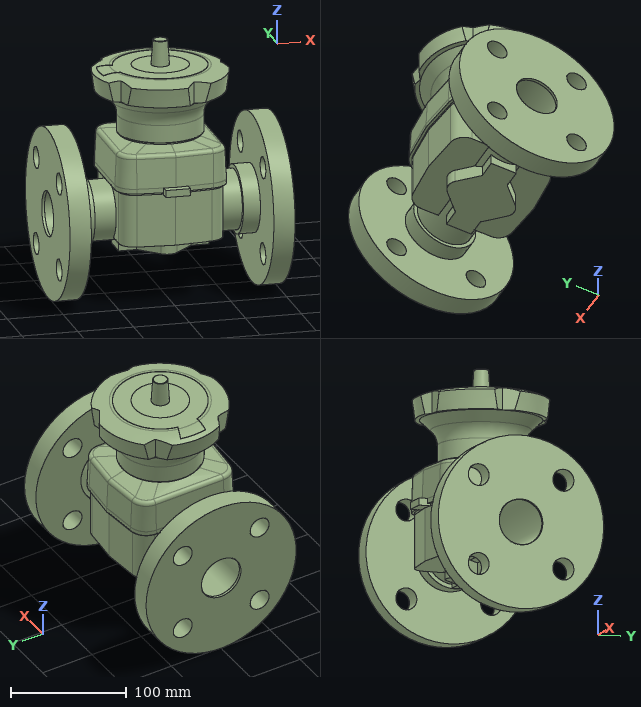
import cadquery as cq
import math


overall_length = 201.5
overall_height = 227.7

flange_radius = 76.3
flange_thickness = 19.1
collar_radius = 30.5
collar_length = 15.3
bolt_spacing = 78.0
bolt_hole_radius = 9.5
flange_lip = 2.5

pipe_radius = 26.9
bore_radius = 20.0
side_peak_angle = 5.4
body_half_length = 46.5
body_half_width = 52.0
body_corner_radius = 14.3
body_bottom_z = -20.7
joint_z = 26.2

foot_bottom_z = -35.0
foot_half_length = 40.5
foot_half_width = 12.3
nose_half_length = 24.4
nose_tip_radius = 10.0
nose_angle = 45.0

rim_half_length = 49.6
rim_half_width = 54.5
rim_bottom_z = 28.2
rim_top_z = 32.5
bonnet_corner_radius = 16.8
bonnet_draft = 2.5
shoulder_z = 62.8
shoulder_fillet = 3.9
neck_radius = 36.7
neck_bottom_z = 66.5
neck_corner_angle = 11.0
tab_half_length = 11.0
tab_tip_y = -61.0

hub_radius = 38.0
hub_bottom_z = 68.0
hub_top_z = 84.0
flare_radius = 18.2
flare_angle = 47.0
wheel_underside_z = 106.3
wheel_under_radius = 57.5
wheel_rim_radius = 59.9
wheel_rim_z = 123.2
wheel_flat_radius = 44.2
wheel_top_z = 127.5
notch_count = 5
notch_depth_radius = 54.0
notch_lead_angle = 14.5
notch_trail_angle = 8.8
notch_clearance = 11.4
pointer_disc_radius = 41.5
pointer_tip_radius = 55.3
pointer_root = ((-39.8, 6.8), (-39.4, -13.5))
pointer_tip = ((-54.0, 12.5), (-54.0, -12.7))
pointer_lift = 0.2

cap_radius = 25.3
cap_thickness = 4.5
stem_base_radius = 8.0
stem_top_radius = 6.5
stem_chamfer = 0.5
stem_dome_height = 1.0
stem_top_z = overall_height - flange_radius

cap_top_z = wheel_top_z + pointer_lift
cap_bottom_z = cap_top_z - cap_thickness
half_length = overall_length / 2
pipe_half_length = half_length - flange_lip
collar_end_x = half_length - flange_thickness - collar_length


def polar(radius, degrees):
    angle = math.radians(degrees)
    return (radius * math.cos(angle), radius * math.sin(angle))


def box_between(x0, x1, y0, y1, z0, z1):
    block = cq.Workplane("XY").box(x1 - x0, y1 - y0, z1 - z0, centered=False)
    return block.translate((x0, y0, z0))


def x_cylinder(radius, x0, x1):
    return cq.Workplane("YZ", origin=(x0, 0, 0)).circle(radius).extrude(x1 - x0)


def peaked_prism(half_x, half_y, corner_radius, z0, z1, draft=0.0):
    """Block with flat X sides, peaked Y sides and rounded corners, narrowing upward by the draft."""
    edge_y = half_y - half_x * math.tan(math.radians(side_peak_angle))
    corners = [(half_x, edge_y), (0, half_y), (-half_x, edge_y)]
    outline = corners + [(-x, -y) for x, y in corners]
    sketch = cq.Sketch().polygon(outline + outline[:1]).vertices(">X or <X").fillet(corner_radius)
    return cq.Workplane("XY", origin=(0, 0, z0)).placeSketch(sketch).extrude(z1 - z0, taper=draft)


def make_flange(side):
    """Flange disc with its collar; side is -1 or +1 along X."""
    disc = x_cylinder(flange_radius, half_length - flange_thickness, half_length)
    collar = x_cylinder(collar_radius, collar_end_x, half_length - flange_thickness)
    bolt_holes = (
        cq.Workplane("YZ")
        .rect(bolt_spacing, bolt_spacing, forConstruction=True)
        .vertices()
        .circle(bolt_hole_radius)
        .extrude(half_length)
    )
    pipe_socket = x_cylinder(pipe_radius, 0, pipe_half_length)
    bore = x_cylinder(bore_radius, 0, half_length)
    flange = disc.union(collar).cut(bolt_holes).cut(pipe_socket).cut(bore)
    return flange if side > 0 else flange.mirror("YZ")


def make_foot():
    """Bar along the pipe with a round-nosed diamond across its middle."""
    bar = box_between(
        -foot_half_length, foot_half_length, -foot_half_width, foot_half_width, foot_bottom_z, 0
    )
    slope = math.radians(nose_angle)
    tangent_x = nose_tip_radius * math.sin(slope)
    tangent_y = foot_half_width + (nose_half_length - tangent_x) * math.tan(slope)
    tip_y = tangent_y + nose_tip_radius * (1 - math.cos(slope))
    diamond = (
        cq.Workplane("XY", origin=(0, 0, foot_bottom_z))
        .moveTo(nose_half_length, foot_half_width)
        .lineTo(tangent_x, tangent_y)
        .threePointArc((0, tip_y), (-tangent_x, tangent_y))
        .lineTo(-nose_half_length, foot_half_width)
        .lineTo(-nose_half_length, -foot_half_width)
        .lineTo(-tangent_x, -tangent_y)
        .threePointArc((0, -tip_y), (tangent_x, -tangent_y))
        .lineTo(nose_half_length, -foot_half_width)
        .close()
        .extrude(body_bottom_z - foot_bottom_z)
    )
    return bar.union(diamond)


def make_body():
    pipe = x_cylinder(pipe_radius, -pipe_half_length, pipe_half_length)
    block = peaked_prism(body_half_length, body_half_width, body_corner_radius, body_bottom_z, joint_z)
    bore = x_cylinder(bore_radius, -half_length, half_length)
    return block.union(pipe).union(make_foot()).cut(bore)


def neck_outline():
    """Neck circle split into arcs that face the sides and corners of the bonnet."""
    breaks = []
    for corner in (45, 135, 225, 315):
        breaks += [corner - neck_corner_angle, corner + neck_corner_angle]
    edges = []
    for start, end in zip(breaks, breaks[1:] + [breaks[0] + 360]):
        points = [cq.Vector(*polar(neck_radius, a), neck_bottom_z) for a in (start, (start + end) / 2, end)]
        edges.append(cq.Edge.makeThreePointArc(*points))
    return cq.Wire.assembleEdges(edges)


def make_bonnet():
    seat = peaked_prism(body_half_length, body_half_width, body_corner_radius, joint_z, rim_bottom_z)
    rim = peaked_prism(rim_half_length, rim_half_width, bonnet_corner_radius, rim_bottom_z, rim_top_z)
    cover = peaked_prism(
        rim_half_length, rim_half_width, bonnet_corner_radius, rim_top_z, shoulder_z, bonnet_draft
    )
    cover = cover.faces(">Z").edges().fillet(shoulder_fillet)
    shoulder = cq.Solid.makeLoft([cover.faces(">Z").wires().val(), neck_outline()], True)
    neck_height = hub_bottom_z - neck_bottom_z
    neck = cq.Workplane("XY", origin=(0, 0, neck_bottom_z)).circle(neck_radius).extrude(neck_height)
    tab = box_between(-tab_half_length, tab_half_length, tab_tip_y, 0, joint_z, rim_top_z)
    bonnet = seat.union(rim).union(cover).union(cq.Workplane(shoulder)).union(neck).union(tab)
    return bonnet.cut(x_cylinder(pipe_radius, -pipe_half_length, pipe_half_length))


def wheel_blank():
    """Turned handwheel: hub, flare, tapered rim and rounded top edge."""
    flare_end = math.radians(flare_angle)
    flare_mid = flare_end / 2
    arc_mid_r = hub_radius + flare_radius * (1 - math.cos(flare_mid))
    arc_mid_z = hub_top_z + flare_radius * math.sin(flare_mid)
    arc_end_r = hub_radius + flare_radius * (1 - math.cos(flare_end))
    arc_end_z = hub_top_z + flare_radius * math.sin(flare_end)
    cone_end_r = arc_end_r + (wheel_underside_z - arc_end_z) * math.tan(flare_end)
    crown_run = wheel_rim_radius - wheel_flat_radius
    crown_drop = wheel_top_z - wheel_rim_z
    crown_radius = (crown_run ** 2 + crown_drop ** 2) / (2 * crown_drop)
    crown_half_angle = math.asin(crown_run / crown_radius) / 2
    crown_mid_r = wheel_flat_radius + crown_radius * math.sin(crown_half_angle)
    crown_mid_z = wheel_top_z - crown_radius * (1 - math.cos(crown_half_angle))
    return (
        cq.Workplane("XZ")
        .moveTo(0, hub_bottom_z)
        .lineTo(hub_radius, hub_bottom_z)
        .lineTo(hub_radius, hub_top_z)
        .threePointArc((arc_mid_r, arc_mid_z), (arc_end_r, arc_end_z))
        .lineTo(cone_end_r, wheel_underside_z)
        .lineTo(wheel_under_radius, wheel_underside_z)
        .lineTo(wheel_rim_radius, wheel_rim_z)
        .threePointArc((crown_mid_r, crown_mid_z), (wheel_flat_radius, wheel_top_z))
        .lineTo(0, wheel_top_z)
        .close()
        .revolve(360, (0, 0, 0), (0, 1, 0))
    )


def rim_notch(angle):
    """Vertical V-shaped cutter, longer on its leading side and reaching clear of the rim."""
    lead = angle + notch_lead_angle
    trail = angle - notch_trail_angle
    outside_radius = wheel_rim_radius + notch_clearance
    corners = [
        polar(notch_depth_radius, angle),
        polar(wheel_rim_radius, lead),
        polar(outside_radius, lead),
        polar(outside_radius, trail),
        polar(wheel_rim_radius, trail),
    ]
    return cq.Workplane("XY").polyline(corners).close().extrude(stem_top_z)


def pointer_prism():
    """Upright prism over the raised disc and its tongue toward -X."""
    base = cq.Workplane("XY", origin=(0, 0, wheel_underside_z))
    height = stem_top_z - wheel_underside_z
    disc = base.circle(pointer_disc_radius).extrude(height)
    tongue = (
        base
        .moveTo(*pointer_root[0])
        .lineTo(*pointer_tip[0])
        .threePointArc((-pointer_tip_radius, 0), pointer_tip[1])
        .lineTo(*pointer_root[1])
        .close()
        .extrude(height)
    )
    return disc.union(tongue)


def make_handwheel():
    blank = wheel_blank()
    raised_pointer = blank.translate((0, 0, pointer_lift)).intersect(pointer_prism())
    wheel = blank.union(raised_pointer)
    for index in range(notch_count):
        wheel = wheel.cut(rim_notch(index * 360 / notch_count))
    cap_recess = cq.Workplane("XY", origin=(0, 0, cap_bottom_z)).circle(cap_radius).extrude(stem_top_z)
    return wheel.cut(cap_recess)


def make_stem():
    """Tapered stem on a round cap that lies flush in the handwheel."""
    dome_base_z = stem_top_z - stem_dome_height
    dome_radius = stem_top_radius - stem_chamfer
    sphere_radius = (dome_radius ** 2 + stem_dome_height ** 2) / (2 * stem_dome_height)
    dome_mid_z = stem_top_z - sphere_radius + math.sqrt(sphere_radius ** 2 - (dome_radius / 2) ** 2)
    profile = (
        cq.Workplane("XZ")
        .moveTo(0, cap_bottom_z)
        .lineTo(cap_radius, cap_bottom_z)
        .lineTo(cap_radius, cap_top_z)
        .lineTo(stem_base_radius, cap_top_z)
        .lineTo(stem_top_radius, dome_base_z - stem_chamfer)
        .lineTo(dome_radius, dome_base_z)
        .threePointArc((dome_radius / 2, dome_mid_z), (0, stem_top_z))
        .close()
    )
    return profile.revolve(360, (0, 0, 0), (0, 1, 0))


body = make_body()
bonnet = make_bonnet()
handwheel = make_handwheel()
stem = make_stem()
flanges = [make_flange(side) for side in (-1, 1)]

result = cq.Compound.makeCompound([
    body.solids().val(),
    bonnet.solids().val(),
    handwheel.solids().val(),
    stem.solids().val(),
    *[flange.solids().val() for flange in flanges],
])